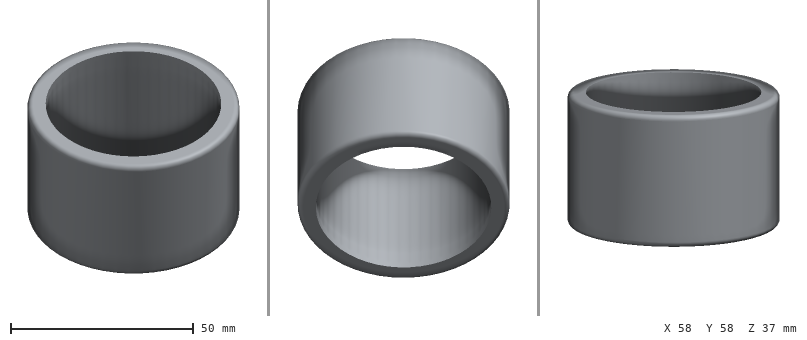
import cadquery as cq

outer_diameter = 58.0
bore_diameter = 48.0
length = 37.0
edge_radius = 1.5


def make_sleeve_body():
    """Solid cylinder along Z with both outer rims rounded."""
    cylinder = cq.Workplane("XY").circle(outer_diameter / 2).extrude(length)
    return cylinder.faces("<Z or >Z").edges().fillet(edge_radius)


def cut_bore(body):
    """Plain through bore with sharp rims, leaving flat annular end faces."""
    return body.faces(">Z").workplane().hole(bore_diameter)


result = cut_bore(make_sleeve_body())